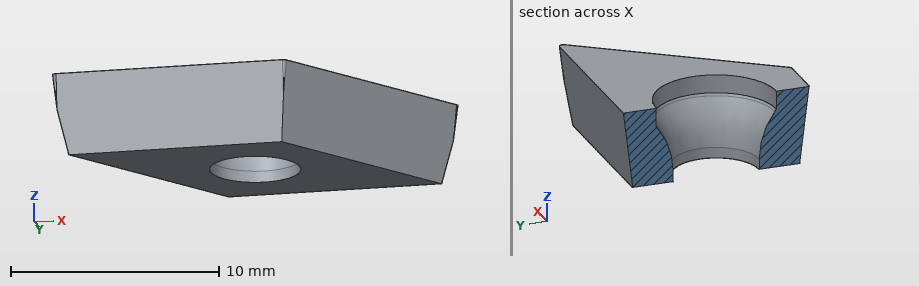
import cadquery as cq
import math

width = 9.54
thickness = 3.96
corner_angle = math.radians(55)
clearance_angle = math.radians(7)
nose_radius = 0.22

entry_diameter = 6.13
entry_depth = 0.93
seat_top_depth = 1.05
seat_diameter = 5.99
seat_bottom_depth = 3.4
bore_diameter = 4.4


def rhombus(across):
    """Sharp corners of the rhombus with the given distance between edges."""
    side = across / math.sin(corner_angle)
    lean = side * math.cos(corner_angle)
    return [
        (-(side + lean) / 2, -across / 2),
        ((side - lean) / 2, -across / 2),
        ((side + lean) / 2, across / 2),
        ((lean - side) / 2, across / 2),
    ]


def planar_face(points):
    return cq.Face.makeFromWires(cq.Wire.makePolygon(points + [points[0]]))


def solid_from_faces(faces):
    return cq.Workplane(cq.Solid.makeSolid(cq.Shell.makeShell(faces)))


def sharp_body():
    """Rhombic frustum with every flank at the clearance angle."""
    bottom_width = width - 2 * thickness * math.tan(clearance_angle)
    return (
        cq.Workplane("XY").polyline(rhombus(width)).close()
        .workplane(offset=-thickness).polyline(rhombus(bottom_width)).close()
        .loft(ruled=True, combine=True)
    )


def point_towards(start, end, distance):
    """Point at the given distance from start on the way to end."""
    fraction = distance / math.dist(start, end)
    return tuple(a + (b - a) * fraction for a, b in zip(start, end))


def corner_waste(tip, neighbours, opposite, angle):
    """Sliver outside a conical nose whose radius fades to zero below the top."""
    center = point_towards(tip, opposite, nose_radius / math.sin(angle / 2))
    tangent_length = nose_radius / math.tan(angle / 2)
    tangents = [point_towards(tip, corner, tangent_length) for corner in neighbours]
    fade_depth = nose_radius / math.tan(clearance_angle)

    kite = [cq.Vector(*p, 0) for p in (tip, tangents[0], center, tangents[1])]
    apex = cq.Vector(*center, -fade_depth)
    faces = [planar_face(kite)]
    for first, second in zip(kite, kite[1:] + kite[:1]):
        faces.append(planar_face([first, second, apex]))

    nose = cq.Solid.makeCone(
        nose_radius, 0, fade_depth, cq.Vector(*center, 0), cq.Vector(0, 0, -1)
    )
    return solid_from_faces(faces).cut(cq.Workplane(nose))


def screw_hole():
    """Revolved hole whose convex seat runs smoothly into the bore."""
    entry_radius = entry_diameter / 2
    seat_radius = seat_diameter / 2
    bore_radius = bore_diameter / 2
    seat_height = seat_bottom_depth - seat_top_depth
    seat_step = seat_radius - bore_radius
    arc_radius = (seat_height**2 + seat_step**2) / (2 * seat_step)
    half_sweep = math.asin(seat_height / arc_radius) / 2
    arc_middle = (
        bore_radius + arc_radius * (1 - math.cos(half_sweep)),
        arc_radius * math.sin(half_sweep) - seat_bottom_depth,
    )
    return (
        cq.Workplane("XZ")
        .lineTo(entry_radius, 0)
        .lineTo(entry_radius, -entry_depth)
        .lineTo(seat_radius, -seat_top_depth)
        .threePointArc(arc_middle, (bore_radius, -seat_bottom_depth))
        .lineTo(bore_radius, -thickness)
        .lineTo(0, -thickness)
        .close()
        .revolve(360, (0, 0, 0), (0, 1, 0))
    )


acute_left, blunt_front, acute_right, blunt_back = rhombus(width)
acute_waste = corner_waste(acute_right, (blunt_front, blunt_back), acute_left, corner_angle)
blunt_waste = corner_waste(blunt_front, (acute_left, acute_right), blunt_back, math.pi - corner_angle)

result = sharp_body()
for waste in (acute_waste, blunt_waste):
    for turn in (0, 180):
        result = result.cut(waste.rotate((0, 0, 0), (0, 0, 1), turn))
result = result.cut(screw_hole())